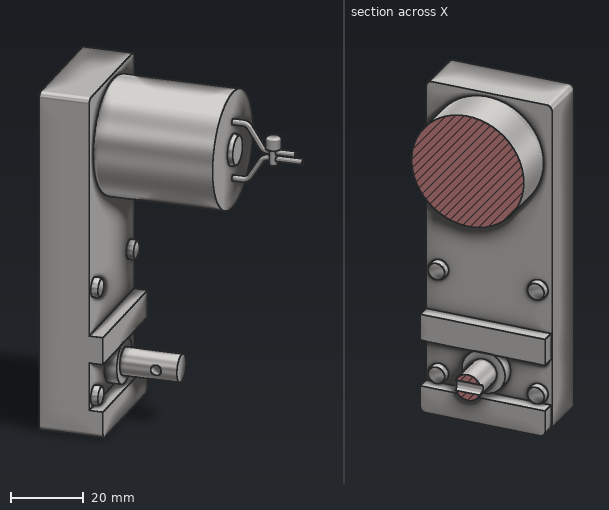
import cadquery as cq
import math

HOUSING_DEPTH = 14.6
HOUSING_WIDTH = 38.0
HOUSING_HEIGHT = 100.0
CORNER_RADIUS = 1.6

BAR_END_X = 18.6
BAR_INSET = 0.3
LOWER_BAR_Z = (0.0, 8.0)
UPPER_BAR_Z = (22.0, 30.0)

MOTOR_Z = 82.5
MOTOR_RADIUS = 17.0
MOTOR_END_X = 49.8
MOTOR_EDGE_RADIUS = 1.6
CAP_BASE_RADIUS = 4.6
CAP_TIP_RADIUS = 4.1
CAP_LENGTH = 1.4

SHAFT_Z = 16.0
SHAFT_RADIUS = 4.0
SHAFT_END_X = 34.9
BOSS_RADIUS = 6.5
BOSS_END_X = 18.3
PIN_HOLE_X = 28.8
PIN_HOLE_DIAMETER = 3.0

SCREW_Y = 15.0
SCREW_HEIGHTS = (11.1, 43.0)
SCREW_RADIUS = 2.8
SCREW_RIM = 1.0
SCREW_SHOULDER = 2.0
SCREW_DOME_RADIUS = 2.5
SCREW_HEAD_HEIGHT = 2.6

WIRE_RADIUS = 0.85
WIRE_BEND_RADIUS = 2.3
WIRE_EXIT_OFFSET = 8.3
WIRE_TIP_OFFSET = 0.95
FIRST_BEND_X = 54.1
SECOND_BEND_X = 58.8
UPPER_WIRE_END_X = 68.1
LOWER_WIRE_END_X = 70.2

POST_X = 61.6
POST_RADIUS = 1.2
POST_BOTTOM_Z = 79.7
POST_HEAD_RADIUS = 2.2
POST_HEAD_BOTTOM_Z = 84.5
POST_HEAD_TOP_Z = 87.9
POST_HEAD_EDGE = 0.6

OVERLAP = 1.0


def box_between(x_range, y_range, z_range):
    """Box given by its limits along the three axes."""
    x0, x1 = x_range
    y0, y1 = y_range
    z0, z1 = z_range
    return cq.Workplane("XY").box(x1 - x0, y1 - y0, z1 - z0, centered=False).translate((x0, y0, z0))


def rod_along_x(start_x, end_x, radius, z):
    """Round rod parallel to the X axis, in the Y = 0 plane."""
    return cq.Workplane("YZ", origin=(start_x, 0, z)).circle(radius).extrude(end_x - start_x)


def make_housing():
    """Rounded box with two bars; the lower bar carries the box's bottom rounding on."""
    half_width = HOUSING_WIDTH / 2
    housing = box_between((0, HOUSING_DEPTH), (-half_width, half_width), (0, HOUSING_HEIGHT))
    housing = housing.edges("|X").fillet(CORNER_RADIUS)
    bar_x = (HOUSING_DEPTH - OVERLAP, BAR_END_X)
    bar_y = (-half_width, half_width - BAR_INSET)
    lower_bar = box_between(bar_x, bar_y, LOWER_BAR_Z).edges("|X and <Z").fillet(CORNER_RADIUS)
    upper_bar = box_between(bar_x, bar_y, UPPER_BAR_Z)
    return housing.union(lower_bar).union(upper_bar)


def make_motor():
    """Motor can rounded where it meets the housing, with a tapered rear cap."""
    can = rod_along_x(HOUSING_DEPTH, MOTOR_END_X, MOTOR_RADIUS, MOTOR_Z)
    can = can.faces("<X").edges().fillet(MOTOR_EDGE_RADIUS)
    cap = (
        cq.Workplane("YZ", origin=(MOTOR_END_X, 0, MOTOR_Z))
        .circle(CAP_BASE_RADIUS)
        .workplane(offset=CAP_LENGTH)
        .circle(CAP_TIP_RADIUS)
        .loft(ruled=True)
    )
    return can.union(cap)


def make_shaft():
    """Output shaft in its bearing boss, with a cross hole along Y."""
    start_x = HOUSING_DEPTH - OVERLAP
    boss = rod_along_x(start_x, BOSS_END_X, BOSS_RADIUS, SHAFT_Z)
    shaft = rod_along_x(start_x, SHAFT_END_X, SHAFT_RADIUS, SHAFT_Z)
    pin_hole = (
        cq.Workplane("XZ", origin=(PIN_HOLE_X, 0, SHAFT_Z))
        .circle(PIN_HOLE_DIAMETER / 2)
        .extrude(SHAFT_RADIUS + OVERLAP, both=True)
    )
    return boss.union(shaft).cut(pin_hole)


def make_screw(y, z):
    """Screw head: a straight rim, a rounded shoulder and a shallow dome."""
    dome_height = SCREW_HEAD_HEIGHT - SCREW_SHOULDER
    dome_radius = (SCREW_DOME_RADIUS**2 + dome_height**2) / (2 * dome_height)
    half_angle = math.asin(SCREW_DOME_RADIUS / dome_radius) / 2
    dome_middle = (
        SCREW_HEAD_HEIGHT - dome_radius * (1 - math.cos(half_angle)),
        dome_radius * math.sin(half_angle),
    )
    return (
        cq.Workplane("XY")
        .moveTo(-OVERLAP, 0)
        .lineTo(-OVERLAP, SCREW_RADIUS)
        .lineTo(SCREW_RIM, SCREW_RADIUS)
        .tangentArcPoint((SCREW_SHOULDER, SCREW_DOME_RADIUS), relative=False)
        .threePointArc(dome_middle, (SCREW_HEAD_HEIGHT, 0))
        .close()
        .revolve(360, (0, 0, 0), (1, 0, 0))
        .translate((HOUSING_DEPTH, y, z))
    )


def make_wire(side, end_x):
    """Wire above (side = 1) or below (side = -1) the motor axis, with two tangent bends."""
    exit_z = MOTOR_Z + side * WIRE_EXIT_OFFSET
    tip_z = MOTOR_Z + side * WIRE_TIP_OFFSET
    run = SECOND_BEND_X - FIRST_BEND_X
    drop = tip_z - exit_z
    slope_length = math.hypot(run, drop)
    slope_angle = math.atan2(abs(drop), run)
    trim = WIRE_BEND_RADIUS * math.tan(slope_angle / 2)
    trim_x = trim * run / slope_length
    trim_z = trim * drop / slope_length
    path = (
        cq.Workplane("XZ")
        .moveTo(MOTOR_END_X - OVERLAP, exit_z)
        .lineTo(FIRST_BEND_X - trim, exit_z)
        .tangentArcPoint((FIRST_BEND_X + trim_x, exit_z + trim_z), relative=False)
        .lineTo(SECOND_BEND_X - trim_x, tip_z - trim_z)
        .tangentArcPoint((SECOND_BEND_X + trim, tip_z), relative=False)
        .lineTo(end_x, tip_z)
    )
    start = (MOTOR_END_X - OVERLAP, 0, exit_z)
    return cq.Workplane("YZ", origin=start).circle(WIRE_RADIUS).sweep(path)


def make_post():
    """Upright post with a wider, rounded head."""
    post = (
        cq.Workplane("XY", origin=(POST_X, 0, POST_BOTTOM_Z))
        .circle(POST_RADIUS)
        .extrude(POST_HEAD_BOTTOM_Z + OVERLAP - POST_BOTTOM_Z)
    )
    head = (
        cq.Workplane("XY", origin=(POST_X, 0, POST_HEAD_BOTTOM_Z))
        .circle(POST_HEAD_RADIUS)
        .extrude(POST_HEAD_TOP_Z - POST_HEAD_BOTTOM_Z)
        .faces(">Z")
        .edges()
        .fillet(POST_HEAD_EDGE)
    )
    return post.union(head)


result = make_housing().union(make_motor()).union(make_shaft())
for screw_z in SCREW_HEIGHTS:
    for screw_y in (-SCREW_Y, SCREW_Y):
        result = result.union(make_screw(screw_y, screw_z))
result = result.union(make_wire(1, UPPER_WIRE_END_X))
result = result.union(make_wire(-1, LOWER_WIRE_END_X))
result = result.union(make_post())